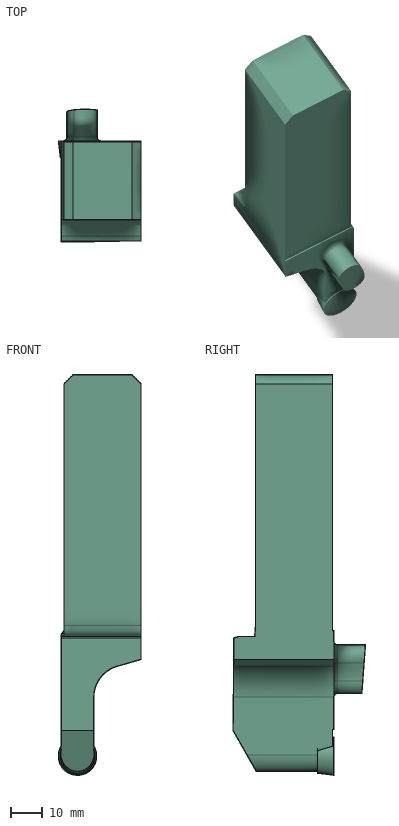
import cadquery as cq
import math


INSERT_RADIUS = 6.1
INSERT_SMALL_RADIUS = 5.5
INSERT_THICKNESS = 5.2

TOP_Z = 128.0
RIGHT_X = 20.3
SHANK_LEFT_X = -4.4
SHANK_REAR_Y = -0.4
SHANK_FRONT_Y = -25.1
SHANK_CHAMFER = 3.0
FLARE_TOP_Z = 47.9
FLARE_DEPTH = 0.3

NECK_HALF_WIDTH = 5.2
NECK_CENTRE_Z = 6.5
HEAD_FRONT_Y = -32.3
HEAD_DRAFT = 0.3
SHOULDER_Z = 44.4
SHOULDER_EDGE_WIDTH = 1.7
SHOULDER_EDGE_DROP = 0.5
LEFT_BEVEL_TOP_Z = 46.2
LEFT_BEVEL_HEIGHT = 1.2
UNDERCUT_RADIUS = 10.2
UNDERCUT_CENTRE_Z = 25.0
UNDERCUT_ANGLE = math.radians(16)
NOSE_TOP_Z = 14.3
NOSE_BOTTOM_Y = -24.8
REAR_RELIEF_TOP_Z = 14.6
REAR_RELIEF_DEPTH = 0.4

BOSS_CAP_RADIUS = 4.0
BOSS_LEFT_X = -3.5
BOSS_BOTTOM_Z = 26.1
BOSS_HEIGHT = 15.6
BOSS_WIDTH = 10.2
BOSS_PATH_ANGLE = math.radians(27)
BOSS_TIP_Y = 10.1
BOSS_TIP_SETBACK = 1.2
BOSS_ROOT_FILLET = 1.2
ROOT_MARGIN = 0.3


def extrude_along_x(points, left_x, right_x):
    """Extrude a YZ polygon between two X positions."""
    return cq.Workplane("YZ", origin=(left_x, 0, 0)).polyline(points).close().extrude(right_x - left_x)


def make_insert():
    profile = [
        (0, 0),
        (INSERT_RADIUS, 0),
        (INSERT_SMALL_RADIUS, -INSERT_THICKNESS),
        (0, -INSERT_THICKNESS),
    ]
    disc = cq.Workplane("XY").polyline(profile).close().revolve(360, (0, 0), (0, 1))
    return disc.translate((0, 0, INSERT_RADIUS))


def make_shank():
    profile = [
        (SHANK_FRONT_Y - FLARE_DEPTH, SHOULDER_Z),
        (SHANK_FRONT_Y, FLARE_TOP_Z),
        (SHANK_FRONT_Y, TOP_Z),
        (SHANK_REAR_Y, TOP_Z),
        (SHANK_REAR_Y, SHOULDER_Z),
    ]
    shank = extrude_along_x(profile, SHANK_LEFT_X, RIGHT_X)
    return shank.faces(">Z").edges("|Y").chamfer(SHANK_CHAMFER)


def make_head_outline():
    """Head plate seen along Y: broad top, undercut right side and round-ended neck."""
    arc_centre_x = NECK_HALF_WIDTH + UNDERCUT_RADIUS

    def undercut_point(angle_from_vertical):
        return (
            arc_centre_x - UNDERCUT_RADIUS * math.sin(angle_from_vertical),
            UNDERCUT_CENTRE_Z + UNDERCUT_RADIUS * math.cos(angle_from_vertical),
        )

    tangent_x, tangent_z = undercut_point(UNDERCUT_ANGLE)
    undercut_edge_z = tangent_z + (RIGHT_X - tangent_x) * math.tan(UNDERCUT_ANGLE)
    arc_middle = undercut_point((UNDERCUT_ANGLE + math.pi / 2) / 2)
    outline = cq.Workplane("XZ").moveTo(SHANK_LEFT_X, LEFT_BEVEL_TOP_Z)
    outline = outline.lineTo(RIGHT_X, LEFT_BEVEL_TOP_Z)
    outline = outline.lineTo(RIGHT_X, undercut_edge_z)
    outline = outline.lineTo(tangent_x, tangent_z)
    outline = outline.threePointArc(arc_middle, (NECK_HALF_WIDTH, UNDERCUT_CENTRE_Z))
    outline = outline.lineTo(NECK_HALF_WIDTH, NECK_CENTRE_Z)
    outline = outline.threePointArc(
        (0, NECK_CENTRE_Z - NECK_HALF_WIDTH), (-NECK_HALF_WIDTH, NECK_CENTRE_Z)
    )
    return outline.lineTo(-NECK_HALF_WIDTH, LEFT_BEVEL_TOP_Z - LEFT_BEVEL_HEIGHT).close()


def make_head():
    """Intersect the XZ outline with the stepped and bevelled YZ side profile."""
    neck_bottom_z = NECK_CENTRE_Z - NECK_HALF_WIDTH
    upper_front_y = HEAD_FRONT_Y + HEAD_DRAFT
    side_profile = [
        (0, LEFT_BEVEL_TOP_Z),
        (SHANK_FRONT_Y, LEFT_BEVEL_TOP_Z),
        (SHANK_FRONT_Y, SHOULDER_Z),
        (upper_front_y + SHOULDER_EDGE_WIDTH, SHOULDER_Z),
        (upper_front_y, SHOULDER_Z - SHOULDER_EDGE_DROP),
        (HEAD_FRONT_Y, NOSE_TOP_Z),
        (NOSE_BOTTOM_Y, neck_bottom_z),
        (-REAR_RELIEF_DEPTH, neck_bottom_z),
        (-REAR_RELIEF_DEPTH, REAR_RELIEF_TOP_Z),
        (0, REAR_RELIEF_TOP_Z),
    ]
    plate = make_head_outline().extrude(-HEAD_FRONT_Y)
    return plate.intersect(extrude_along_x(side_profile, -NECK_HALF_WIDTH, RIGHT_X))


def make_boss():
    """Curved slot-shaped boss, cut by a sloping plane at its tip."""
    lower_x = BOSS_LEFT_X + BOSS_CAP_RADIUS
    lower_z = BOSS_BOTTOM_Z + BOSS_CAP_RADIUS
    path_radius = (BOSS_HEIGHT - 2 * BOSS_CAP_RADIUS) / math.sin(BOSS_PATH_ANGLE)
    bend_x = lower_x + path_radius
    upper_x = bend_x - path_radius * math.cos(BOSS_PATH_ANGLE)
    top_z = BOSS_BOTTOM_Z + BOSS_HEIGHT
    outer_radius = path_radius + BOSS_CAP_RADIUS
    inner_radius = path_radius - BOSS_CAP_RADIUS

    def path_point(radius, angle):
        return (bend_x - radius * math.cos(angle), lower_z + radius * math.sin(angle))

    outline = cq.Workplane("XZ").moveTo(*path_point(outer_radius, 0))
    outline = outline.threePointArc(
        path_point(outer_radius, BOSS_PATH_ANGLE / 2), path_point(outer_radius, BOSS_PATH_ANGLE)
    )
    outline = outline.threePointArc((upper_x, top_z), path_point(inner_radius, BOSS_PATH_ANGLE))
    outline = outline.threePointArc(
        path_point(inner_radius, BOSS_PATH_ANGLE / 2), path_point(inner_radius, 0)
    )
    outline = outline.threePointArc((lower_x, BOSS_BOTTOM_Z), path_point(outer_radius, 0)).close()
    boss = outline.extrude(-BOSS_TIP_Y)

    tip_profile = [
        (SHANK_REAR_Y, BOSS_BOTTOM_Z),
        (BOSS_TIP_Y - BOSS_TIP_SETBACK, BOSS_BOTTOM_Z),
        (BOSS_TIP_Y, top_z),
        (SHANK_REAR_Y, top_z),
    ]
    return boss.intersect(extrude_along_x(tip_profile, -NECK_HALF_WIDTH, RIGHT_X))


def make_holder(insert):
    """Shank, head and boss in one body, with a seat matching the insert."""
    holder = make_shank().union(make_head()).union(make_boss())
    root_zone = cq.selectors.BoxSelector(
        (BOSS_LEFT_X - ROOT_MARGIN, -ROOT_MARGIN / 2, BOSS_BOTTOM_Z - ROOT_MARGIN),
        (BOSS_LEFT_X + BOSS_WIDTH, ROOT_MARGIN / 2, BOSS_BOTTOM_Z + BOSS_HEIGHT + ROOT_MARGIN),
    )
    holder = holder.edges(root_zone).fillet(BOSS_ROOT_FILLET)
    return holder.cut(insert)


insert = make_insert()
holder = make_holder(insert)
result = cq.Compound.makeCompound([holder.val(), insert.val()])